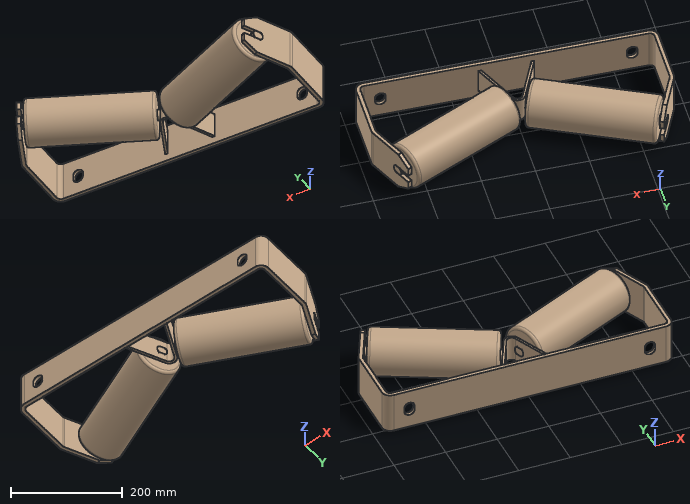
import cadquery as cq
import math

frame_length = 560.0
bar_height = 80.0
bar_thickness = 8.0
bend_radius = 16.0
arm_bend_y = 125.5
arm_length = 102.5
arm_lean = 25.0
tip_chamfer_along = 28.0
tip_chamfer_across = 15.5

mount_spacing = 466.0
mount_slot_length = 27.0
mount_slot_width = 20.0

roller_diameter = 89.0
roller_length = 238.5
roller_edge_radius = 5.5
end_gap = 5.0
shaft_diameter = 20.0
shaft_flat_width = 16.0
shaft_seat = 72.0

bracket_height = 50.0
bracket_thickness = 5.0
bracket_bend_radius = 14.5

lean = math.radians(arm_lean)
half_length = frame_length / 2

shaft_start_x = -half_length + shaft_seat * math.sin(lean)
shaft_start_y = arm_bend_y + shaft_seat * math.cos(lean)
roller_start = bar_thickness + end_gap
bracket_start = roller_start + roller_length + end_gap
shaft_length = bracket_start + bracket_thickness


def place_on_left_axis(shape):
    """Move a shape built along +X from the origin onto the left roller axis."""
    return shape.rotate((0, 0, 0), (0, 0, 1), -arm_lean).translate((shaft_start_x, shaft_start_y, 0))


def mirrored(shape):
    """The same shape on the other side of the YZ plane."""
    return shape.mirror("YZ")


def flatted_bar(start, length):
    """Round bar along X with flats above and below, as at the shaft ends."""
    bar = cq.Workplane("YZ", origin=(start, 0, 0)).circle(shaft_diameter / 2).extrude(length)
    between_flats = cq.Workplane("XY").box(2 * shaft_length, shaft_diameter, shaft_flat_width)
    return bar.intersect(between_flats)


def extrude_strip(points, height):
    """Extrude an XY outline to the given height, centred on Z = 0."""
    return cq.Workplane("XY").polyline(points).close().extrude(height / 2, both=True)


def round_bend(strip, outer_point, inner_point, outer_radius, thickness):
    """Round both sides of one fold of a strip about a common centre."""
    strip = strip.edges(cq.NearestToPointSelector((*outer_point, 0))).fillet(outer_radius)
    return strip.edges(cq.NearestToPointSelector((*inner_point, 0))).fillet(outer_radius - thickness)


def arm_cutter():
    """Left arm's cut-outs: the two tip chamfers and the open shaft slot."""
    tip = arm_length - shaft_seat
    chamfer_start = tip - tip_chamfer_along
    half_height = bar_height / 2
    cutter = flatted_bar(0, bar_thickness)
    cutter = cutter.union(
        cq.Workplane("XY").box(bar_thickness, tip, shaft_flat_width, centered=(False, False, True))
    )
    for side in (1, -1):
        corner = [
            (chamfer_start, side * half_height),
            (tip, side * half_height),
            (tip, side * (half_height - tip_chamfer_across)),
        ]
        cutter = cutter.union(cq.Workplane("YZ").polyline(corner).close().extrude(bar_thickness))
    return place_on_left_axis(cutter)


def make_frame():
    tip_outer = (-half_length + arm_length * math.sin(lean), arm_bend_y + arm_length * math.cos(lean))
    tip_inner = (
        tip_outer[0] + bar_thickness * math.cos(lean),
        tip_outer[1] - bar_thickness * math.sin(lean),
    )
    inner_x = -half_length + bar_thickness
    arm_outer = (-half_length, arm_bend_y)
    arm_inner = (inner_x, arm_bend_y - bar_thickness * math.tan(lean / 2))
    corner_outer = (-half_length, 0)
    corner_inner = (inner_x, bar_thickness)

    half = extrude_strip(
        [(0, 0), corner_outer, arm_outer, tip_outer, tip_inner, arm_inner, corner_inner, (0, bar_thickness)],
        bar_height,
    )
    half = round_bend(half, corner_outer, corner_inner, bend_radius, bar_thickness)
    half = round_bend(half, arm_outer, arm_inner, bend_radius, bar_thickness)
    half = half.cut(arm_cutter())

    mount_slots = (
        cq.Workplane("XZ")
        .pushPoints([(-mount_spacing / 2, 0), (mount_spacing / 2, 0)])
        .slot2D(mount_slot_length, mount_slot_width, 90)
        .extrude(-bar_thickness)
    )
    return half.union(mirrored(half)).cut(mount_slots)


def make_bracket():
    leg_x = shaft_start_x + bracket_start * math.cos(lean)
    leg_y = shaft_start_y - bracket_start * math.sin(lean)
    apex_y = leg_y - leg_x / math.tan(lean)
    inner_apex_y = apex_y - bracket_thickness / math.sin(lean)
    foot_outer = (apex_y - bar_thickness) * math.tan(lean)
    foot_inner = (inner_apex_y - bar_thickness) * math.tan(lean)

    bracket = extrude_strip(
        [
            (-foot_outer, bar_thickness),
            (0, apex_y),
            (foot_outer, bar_thickness),
            (foot_inner, bar_thickness),
            (0, inner_apex_y),
            (-foot_inner, bar_thickness),
        ],
        bracket_height,
    )
    bracket = round_bend(bracket, (0, apex_y), (0, inner_apex_y), bracket_bend_radius, bracket_thickness)
    shaft_hole = place_on_left_axis(flatted_bar(bracket_start, bracket_thickness))
    return bracket.cut(shaft_hole).cut(mirrored(shaft_hole))


def make_roller(on_right):
    radius = roller_diameter / 2
    roller = (
        cq.Workplane("XY", origin=(roller_start, 0, 0))
        .polyline([(0, 0), (0, -radius), (roller_length, -radius), (roller_length, 0)])
        .close()
        .revolve(360, (0, 0, 0), (1, 0, 0))
        .edges("%CIRCLE")
        .fillet(roller_edge_radius)
    )
    round_shaft = (
        cq.Workplane("YZ", origin=(bar_thickness, 0, 0))
        .circle(shaft_diameter / 2)
        .extrude(bracket_start - bar_thickness)
    )
    flatted_ends = flatted_bar(0, shaft_length)
    left_roller = place_on_left_axis(roller.union(round_shaft).union(flatted_ends))
    return mirrored(left_roller) if on_right else left_roller


frame = make_frame()
bracket = make_bracket()
rollers = [make_roller(on_right) for on_right in (False, True)]

result = cq.Compound.makeCompound([frame.val(), bracket.val(), *[roller.val() for roller in rollers]])